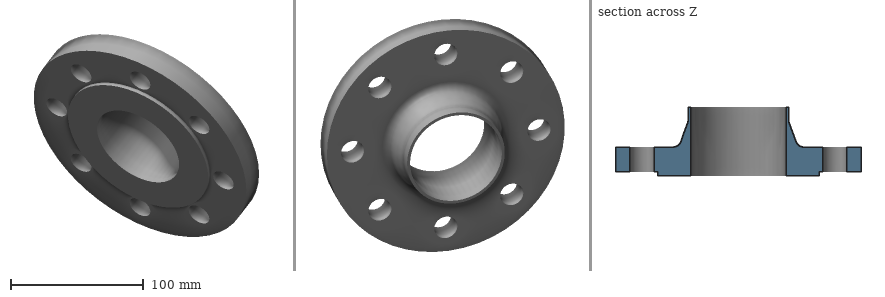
import cadquery as cq

flange_diameter = 185.0
total_length = 52.0
raised_face_diameter = 122.0
raised_face_height = 3.0
flange_thickness = 19.0
bore_diameter = 71.5
neck_diameter = 76.0
neck_length = 11.0
hub_base_diameter = 90.0
hub_fillet = 6.0
bolt_circle_diameter = 145.0
bolt_hole_diameter = 18.0
bolt_count = 8
tolerance = 0.02

flange_back = raised_face_height + flange_thickness
cone_end = total_length - neck_length


def make_body():
    """Revolve the half section, given as (radius, Y), about the Y axis."""
    section = [
        (bore_diameter / 2, 0),
        (raised_face_diameter / 2, 0),
        (raised_face_diameter / 2, raised_face_height),
        (flange_diameter / 2, raised_face_height),
        (flange_diameter / 2, flange_back),
        (hub_base_diameter / 2, flange_back),
        (neck_diameter / 2, cone_end),
        (neck_diameter / 2, total_length),
        (bore_diameter / 2, total_length),
    ]
    return cq.Workplane("XY").polyline(section).close().revolve(360, (0, 0, 0), (0, 1, 0))


def is_hub_edge(edge):
    """True for the circles where the cone meets the flange back and the neck."""
    if edge.geomType() != "CIRCLE":
        return False
    corners = [(hub_base_diameter / 2, flange_back), (neck_diameter / 2, cone_end)]
    return any(
        abs(edge.radius() - radius) < tolerance and abs(edge.arcCenter().y - height) < tolerance
        for radius, height in corners
    )


def round_hub(body):
    """Blend both ends of the cone into the flange back and the neck."""
    return body.edges().filter(is_hub_edge).fillet(hub_fillet)


def make_bolt_holes():
    """Evenly spaced through holes, one of them on the X axis."""
    return (
        cq.Workplane("XZ")
        .polarArray(bolt_circle_diameter / 2, 0, 360, bolt_count)
        .circle(bolt_hole_diameter / 2)
        .extrude(-flange_back)
    )


result = round_hub(make_body()).cut(make_bolt_holes())